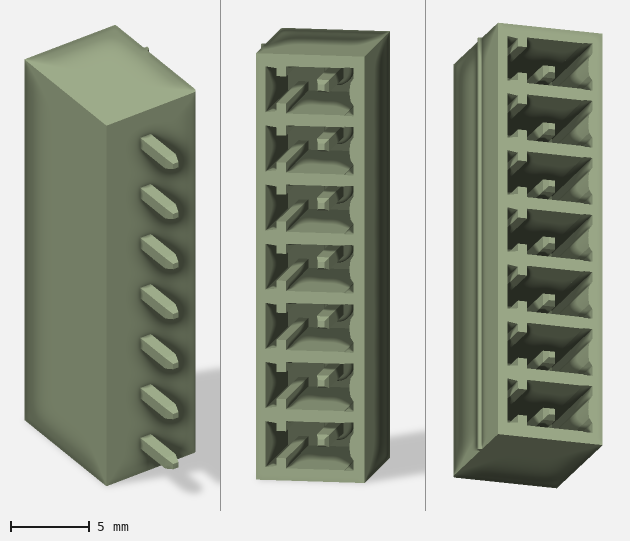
import cadquery as cq

PIN_COUNT = 7
PITCH = 3.81
END_MARGIN = 2.305

BODY_DEPTH = 9.2
BODY_WIDTH = 7.0
BODY_HEIGHT = (PIN_COUNT - 1) * PITCH + 2 * END_MARGIN
BACK_EDGE_RADIUS = 0.3

RIB_START_X = 3.2
RIB_WIDTH = 0.38
RIB_HEIGHT = 0.25
RIB_ROUNDING = 0.24

POCKET_DEPTH = 8.0
POCKET_BOTTOM_Y = 0.7
RELIEF_END_Y = 1.3
RAIL_START_Y = 5.05
RAIL_END_Y = 5.67
POCKET_TOP_Y = 6.37
POCKET_HALF_MOUTH = 1.52
POCKET_HALF_FLOOR = 1.46
RELIEF_STEP = 0.04
RAIL_HALF_GAP = 0.87
GROOVE_HALF_INNER = 1.38
GROOVE_HALF_OUTER = 1.48
KEY_HALF_ROOT = 0.9
KEY_HALF_CREST = 0.6
KEY_FLANK_HEIGHT = 0.2
KEY_HEIGHT = 0.27

PIN_Y = 3.0
PIN_SIDE = 0.8
PIN_FRONT_X = 1.2
PIN_TAIL = 3.4
TIP_LENGTH = 0.6
TIP_SIDE = 0.4

COLLAR_DIAMETER = 1.8
COLLAR_LENGTH = 1.0
COLLAR_ROUNDING = 0.2


def make_body():
    body = cq.Workplane("XY").box(BODY_DEPTH, BODY_WIDTH, BODY_HEIGHT, centered=False)
    return body.edges("|Z and >X and >Y").fillet(BACK_EDGE_RADIUS)


def make_rib():
    """Full-height rib, half sunk into the +Y face, rounded on its back corner."""
    rib = (
        cq.Workplane("XY")
        .rect(RIB_WIDTH, 2 * RIB_HEIGHT)
        .extrude(BODY_HEIGHT)
        .edges("|Z and >X and >Y")
        .fillet(RIB_ROUNDING)
    )
    return rib.translate((RIB_START_X + RIB_WIDTH / 2, BODY_WIDTH, 0))


def make_pocket_outline(level, depth_x, pocket_half):
    """Closed wire of the keyed socket, symmetric about the pin level."""
    relief_half = pocket_half + RELIEF_STEP
    one_side = [
        (POCKET_BOTTOM_Y + KEY_FLANK_HEIGHT, KEY_HALF_CREST),
        (POCKET_BOTTOM_Y, KEY_HALF_ROOT),
        (POCKET_BOTTOM_Y, relief_half),
        (RELIEF_END_Y, relief_half),
        (RELIEF_END_Y, pocket_half),
        (RAIL_START_Y, pocket_half),
        (RAIL_START_Y, RAIL_HALF_GAP),
        (RAIL_END_Y, RAIL_HALF_GAP),
        (RAIL_END_Y, GROOVE_HALF_INNER),
        (POCKET_TOP_Y, GROOVE_HALF_OUTER),
    ]
    other_side = [(y, -z) for y, z in reversed(one_side)]
    key_crest = (POCKET_BOTTOM_Y + KEY_HEIGHT, 0)
    outline = (
        cq.Workplane("YZ", origin=(depth_x, 0, level))
        .polyline(one_side + other_side)
        .threePointArc(key_crest, one_side[0])
        .wire()
    )
    return outline.val()


def make_pocket(level):
    mouth = make_pocket_outline(level, 0, POCKET_HALF_MOUTH)
    floor = make_pocket_outline(level, POCKET_DEPTH, POCKET_HALF_FLOOR)
    return cq.Workplane(cq.Solid.makeLoft([mouth, floor], True))


def make_pin_tip(level, base_x, tip_x):
    """Square frustum narrowing from the pin section to its blunt end."""
    return (
        cq.Workplane("YZ", origin=(base_x, PIN_Y, level))
        .rect(PIN_SIDE, PIN_SIDE)
        .workplane(offset=tip_x - base_x)
        .rect(TIP_SIDE, TIP_SIDE)
        .loft(ruled=True)
    )


def make_pin(level):
    pin_end_x = BODY_DEPTH + PIN_TAIL
    shank_start_x = PIN_FRONT_X + TIP_LENGTH
    shank_end_x = pin_end_x - TIP_LENGTH
    shank = (
        cq.Workplane("YZ", origin=(shank_start_x, PIN_Y, level))
        .rect(PIN_SIDE, PIN_SIDE)
        .extrude(shank_end_x - shank_start_x)
    )
    collar = (
        cq.Workplane("YZ", origin=(POCKET_DEPTH - COLLAR_LENGTH, PIN_Y, level))
        .circle(COLLAR_DIAMETER / 2)
        .extrude(COLLAR_LENGTH)
        .faces("<X")
        .fillet(COLLAR_ROUNDING)
    )
    front_tip = make_pin_tip(level, shank_start_x, PIN_FRONT_X)
    solder_tip = make_pin_tip(level, shank_end_x, pin_end_x)
    return shank.union(collar).union(front_tip).union(solder_tip)


result = make_body().union(make_rib())
for index in range(PIN_COUNT):
    pin_level = END_MARGIN + index * PITCH
    result = result.cut(make_pocket(pin_level)).union(make_pin(pin_level))